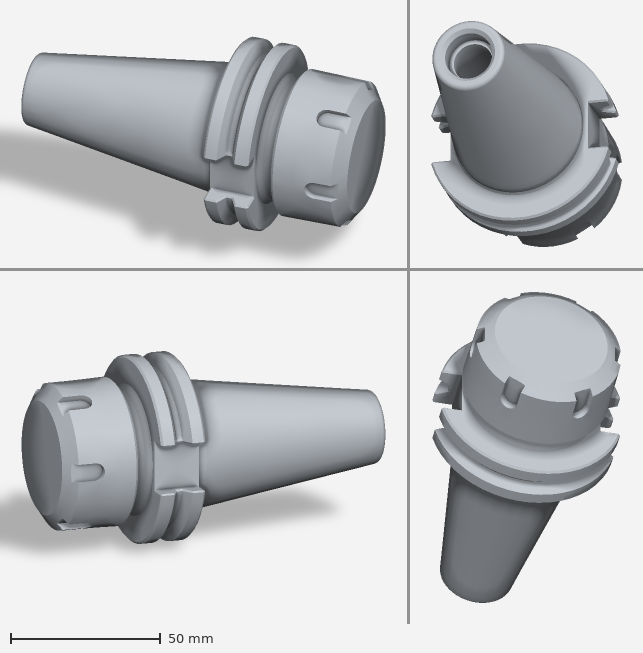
import cadquery as cq
import math

LENGTH = 118.5

TAPER_RATIO = 7 / 24
GAUGE_DIAMETER = 44.4
GAUGE_X = 68.0
TAPER_END_FILLET = 1.5
RELIEF_X = 70.6
RELIEF_FLARE = 0.7

FLANGE_DIAMETER = 63.5
FLANGE_START_X = RELIEF_X + RELIEF_FLARE
FLANGE_WIDTH = 15.9
FLANGE_CHAMFER = 0.7
GROOVE_BOTTOM_DIAMETER = 55.9
GROOVE_BOTTOM_WIDTH = 2.0
GROOVE_HALF_ANGLE = 30

DRIVE_SLOT_WIDTH = 16.1
DRIVE_SLOT_FLOOR = 23.7
DRIVE_SLOT_CHAMFER = 0.6

NECK_DIAMETER = 39.9
NECK_CONE_START_DIAMETER = 44.5
NECK_BLEND_RADIUS = 1.2

NUT_START_X = 93.1
NUT_DIAMETER = 50.2
NUT_FRONT_DIAMETER = 49.6
NUT_BACK_CHAMFER = 1.0
NUT_BEVEL_X = 114.6
NUT_FACE_DIAMETER = 38.6
SPANNER_SLOT_COUNT = 6
SPANNER_SLOT_WIDTH = 6.4
SPANNER_SLOT_START_X = 105.3
SPANNER_SLOT_FLOOR = 22.3

HOLE_MOUTH_DIAMETER = 18.8
PILOT_DIAMETER = 16.2
PILOT_DEPTH = 7.7
DRILL_DIAMETER = 13.4
DRILL_DEPTH = 32.0

FLANGE_END_X = FLANGE_START_X + FLANGE_WIDTH
FLANGE_RADIUS = FLANGE_DIAMETER / 2
OVERCUT = 5.9
EDGE_TOLERANCE = 0.1


def revolve_about_x(profile):
    """Turn a closed (x, radius) profile about the X axis."""
    return profile.close().revolve(360, (0, 0, 0), (1, 0, 0))


def make_shank():
    end_radius = (GAUGE_DIAMETER - TAPER_RATIO * GAUGE_X) / 2
    gauge_radius = GAUGE_DIAMETER / 2
    shank = revolve_about_x(
        cq.Workplane("XY")
        .lineTo(0, end_radius)
        .lineTo(GAUGE_X, gauge_radius)
        .lineTo(RELIEF_X, gauge_radius)
        .lineTo(FLANGE_START_X, gauge_radius + RELIEF_FLARE)
        .lineTo(FLANGE_START_X, 0)
    )
    return shank.faces("<X").edges().fillet(TAPER_END_FILLET)


def make_flange():
    middle_x = FLANGE_START_X + FLANGE_WIDTH / 2
    groove_bottom_radius = GROOVE_BOTTOM_DIAMETER / 2
    groove_depth = FLANGE_RADIUS - groove_bottom_radius
    bottom_half = GROOVE_BOTTOM_WIDTH / 2
    mouth_half = bottom_half + groove_depth * math.tan(math.radians(GROOVE_HALF_ANGLE))
    chamfer_radius = FLANGE_RADIUS - FLANGE_CHAMFER
    flange = revolve_about_x(
        cq.Workplane("XY")
        .moveTo(FLANGE_START_X, 0)
        .lineTo(FLANGE_START_X, chamfer_radius)
        .lineTo(FLANGE_START_X + FLANGE_CHAMFER, FLANGE_RADIUS)
        .lineTo(middle_x - mouth_half, FLANGE_RADIUS)
        .lineTo(middle_x - bottom_half, groove_bottom_radius)
        .lineTo(middle_x + bottom_half, groove_bottom_radius)
        .lineTo(middle_x + mouth_half, FLANGE_RADIUS)
        .lineTo(FLANGE_END_X - FLANGE_CHAMFER, FLANGE_RADIUS)
        .lineTo(FLANGE_END_X, chamfer_radius)
        .lineTo(FLANGE_END_X, 0)
    )
    return cut_drive_slots(flange)


def cut_drive_slots(flange):
    slot_depth = FLANGE_RADIUS - DRIVE_SLOT_FLOOR + OVERCUT
    middle_x = FLANGE_START_X + FLANGE_WIDTH / 2
    for side in (-1, 1):
        slot = cq.Workplane("XY").box(FLANGE_WIDTH + 2 * OVERCUT, slot_depth, DRIVE_SLOT_WIDTH)
        slot_middle_y = side * (DRIVE_SLOT_FLOOR + slot_depth / 2)
        flange = flange.cut(slot.translate((middle_x, slot_middle_y, 0)))

    floor_limit = DRIVE_SLOT_FLOOR + DRIVE_SLOT_CHAMFER / 2
    wall_edges = [
        edge
        for wall in flange.faces("|Z").vals()
        for edge in wall.Edges()
        if abs(edge.Center().y) > floor_limit
    ]
    return flange.newObject(wall_edges).chamfer(DRIVE_SLOT_CHAMFER)


def make_neck():
    neck_radius = NECK_DIAMETER / 2
    cone_start_radius = NECK_CONE_START_DIAMETER / 2
    cone_end_x = FLANGE_END_X + cone_start_radius - neck_radius
    neck = revolve_about_x(
        cq.Workplane("XY")
        .moveTo(FLANGE_END_X, 0)
        .lineTo(FLANGE_END_X, cone_start_radius)
        .lineTo(cone_end_x, neck_radius)
        .lineTo(NUT_START_X, neck_radius)
        .lineTo(NUT_START_X, 0)
    )
    blend_edge = cq.selectors.BoxSelector(
        (cone_end_x - EDGE_TOLERANCE, -FLANGE_RADIUS, -FLANGE_RADIUS),
        (cone_end_x + EDGE_TOLERANCE, FLANGE_RADIUS, FLANGE_RADIUS),
    )
    return neck.edges("%CIRCLE").edges(blend_edge).fillet(NECK_BLEND_RADIUS)


def make_nut():
    nut = revolve_about_x(
        cq.Workplane("XY")
        .moveTo(NUT_START_X, 0)
        .lineTo(NUT_START_X, NUT_DIAMETER / 2 - NUT_BACK_CHAMFER)
        .lineTo(NUT_START_X + NUT_BACK_CHAMFER, NUT_DIAMETER / 2)
        .lineTo(NUT_BEVEL_X, NUT_FRONT_DIAMETER / 2)
        .lineTo(LENGTH, NUT_FACE_DIAMETER / 2)
        .lineTo(LENGTH, 0)
    )
    slot = make_spanner_slot()
    for index in range(SPANNER_SLOT_COUNT):
        angle = index * 360 / SPANNER_SLOT_COUNT
        nut = nut.cut(slot.rotate((0, 0, 0), (1, 0, 0), angle))
    return nut


def make_spanner_slot():
    """Cutter on the +Y side with a flat floor and a round inner end."""
    half_width = SPANNER_SLOT_WIDTH / 2
    round_center_x = SPANNER_SLOT_START_X + half_width
    end_x = LENGTH + OVERCUT
    return (
        cq.Workplane("XZ", origin=(0, SPANNER_SLOT_FLOOR, 0))
        .moveTo(end_x, -half_width)
        .lineTo(round_center_x, -half_width)
        .threePointArc((SPANNER_SLOT_START_X, 0), (round_center_x, half_width))
        .lineTo(end_x, half_width)
        .close()
        .extrude(-OVERCUT)
    )


def make_end_hole():
    mouth_radius = HOLE_MOUTH_DIAMETER / 2
    pilot_radius = PILOT_DIAMETER / 2
    drill_radius = DRILL_DIAMETER / 2
    return revolve_about_x(
        cq.Workplane("XY")
        .lineTo(0, mouth_radius)
        .lineTo(mouth_radius - pilot_radius, pilot_radius)
        .lineTo(PILOT_DEPTH, pilot_radius)
        .lineTo(PILOT_DEPTH, drill_radius)
        .lineTo(DRILL_DEPTH, drill_radius)
        .lineTo(DRILL_DEPTH, 0)
    )


result = make_shank().union(make_flange()).union(make_neck()).union(make_nut()).cut(make_end_hole())